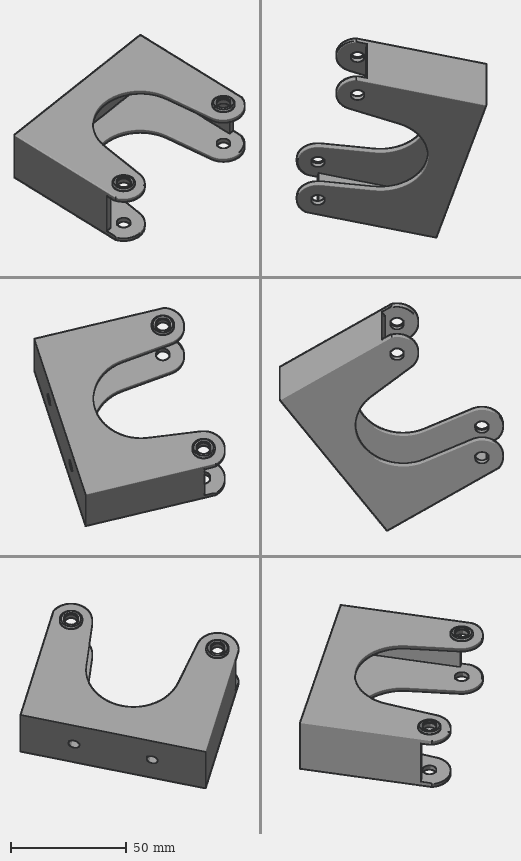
import cadquery as cq
import math

length = 64.92
width = 83.06
height = 26.25

wall = 2.5
back_wall = 5.0
edge_round = 0.5

lug_radius = 9.3
lug_x = length - lug_radius
lug_y = 32.75
lug_hole_diameter = 6.0
lug_points = [(lug_x, -lug_y), (lug_x, lug_y)]

notch_left = 15.85
notch_radius = 20.7
notch_x = notch_left + notch_radius

side_wall_length = 53.6

mount_hole_diameter = 5.0
mount_hole_spacing = 35.0
mount_hole_z = 13.0

washer_bore = 6.4
washer_diameter = 10.0
washer_height = 1.0
washer_chamfer = 0.7


def plate_outline():
    """Straight back, sides tangent to the round lugs, and a round notch with sloping sides."""
    half_width = lug_y + lug_radius
    span_x = lug_x - notch_x
    span = math.hypot(span_x, lug_y)
    slope = math.atan2(lug_y, span_x) - math.asin((notch_radius + lug_radius) / span)
    lug_end_x = lug_x + lug_radius * math.sin(slope)
    lug_end_y = lug_y - lug_radius * math.cos(slope)
    notch_end_x = notch_x - notch_radius * math.sin(slope)
    notch_end_y = notch_radius * math.cos(slope)
    return (
        cq.Workplane("XY")
        .moveTo(0, -half_width)
        .lineTo(lug_x, -half_width)
        .threePointArc((length, -lug_y), (lug_end_x, -lug_end_y))
        .lineTo(notch_end_x, -notch_end_y)
        .threePointArc((notch_left, 0), (notch_end_x, notch_end_y))
        .lineTo(lug_end_x, lug_end_y)
        .threePointArc((length, lug_y), (lug_x, half_width))
        .lineTo(0, half_width)
        .close()
    )


def make_plate(bottom_z):
    """Plate with all its edges but the back one rounded on both faces."""
    plate = plate_outline().extrude(wall).faces("|Z").edges("not |Y").fillet(edge_round)
    return plate.translate((0, 0, bottom_z))


def make_walls():
    """Back wall and two side walls, the full height of the bracket."""
    outer = cq.Workplane("XY").box(side_wall_length, width, height, centered=(False, True, False))
    inner = cq.Workplane("XY", origin=(back_wall, 0, 0)).box(
        side_wall_length, width - 2 * wall, height, centered=(False, True, False)
    )
    return outer.cut(inner)


def make_envelope():
    """Bar with rounded long edges that trims the sides of the bracket."""
    bar = cq.Workplane("XY").box(length, width, height, centered=(False, True, False))
    return bar.edges("|X").fillet(edge_round)


def make_lug_holes():
    """Cutters for the holes through both plates at each lug."""
    return cq.Workplane("XY").pushPoints(lug_points).circle(lug_hole_diameter / 2).extrude(height)


def make_mount_holes():
    """Cutters for the two holes through the back wall."""
    points = [(side * mount_hole_spacing / 2, mount_hole_z) for side in (-1, 1)]
    return cq.Workplane("YZ").pushPoints(points).circle(mount_hole_diameter / 2).extrude(back_wall)


def make_bracket():
    """Walls between two notched plates, with lug holes and mounting holes."""
    blank = make_walls().union(make_plate(0)).union(make_plate(height - wall))
    trimmed = blank.intersect(make_envelope())
    return trimmed.cut(make_lug_holes()).cut(make_mount_holes())


def make_washer(x, y):
    """Flat ring with a chamfered upper rim, resting on the upper plate."""
    disc = cq.Workplane("XY", origin=(x, y, height)).circle(washer_diameter / 2).extrude(washer_height)
    chamfered = disc.faces(">Z").chamfer(washer_chamfer)
    return chamfered.faces(">Z").workplane().circle(washer_bore / 2).cutThruAll()


bracket = make_bracket()
washers = [make_washer(x, y) for x, y in lug_points]

result = cq.Compound.makeCompound(
    [bracket.solids().val(), *[washer.solids().val() for washer in washers]]
)